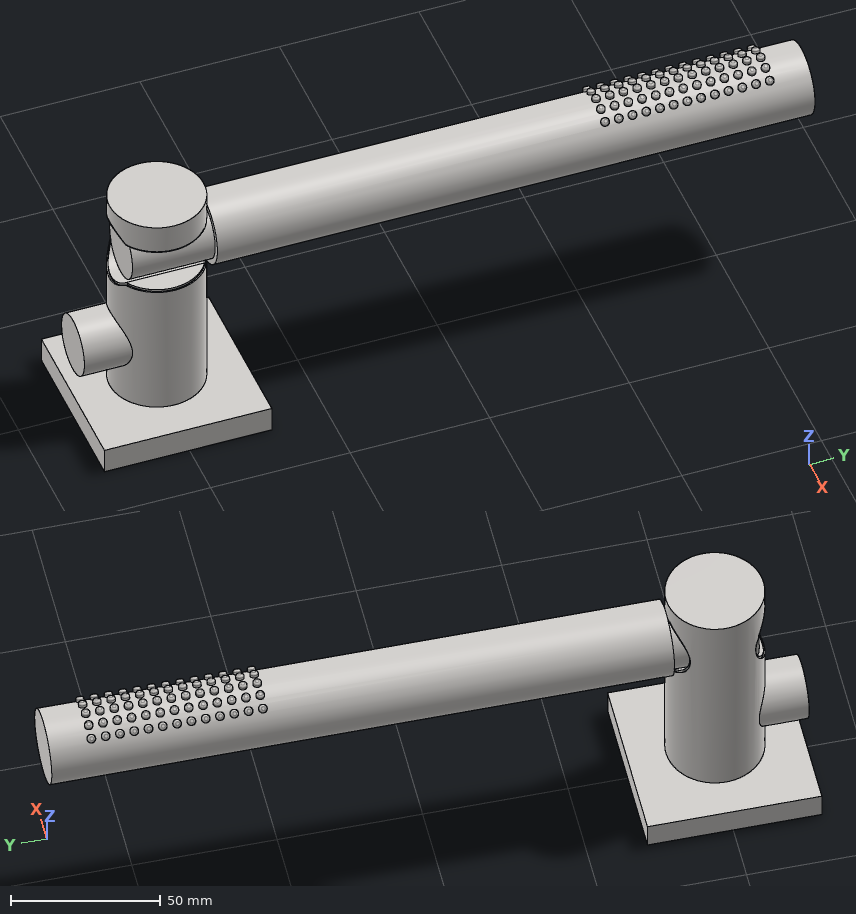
import cadquery as cq
import math

PLATE_SIDE = 60.0
PLATE_THICKNESS = 9.7

POST_DIAMETER = 33.7
POST_TOP_Z = 90.3
DOME_RISE = 0.3

CRADLE_Z = 70.2
CRADLE_DIAMETER = 25.0
SLOT_HEIGHT = 18.3
LINER_WALL = 0.8
LINER_SETBACK = 0.5

PIN_DIAMETER = 22.0
PIN_Z = 32.0

OVERALL_LENGTH = 261.0
HANDSET_DIAMETER = 26.0
NECK_DIAMETER = 22.0
NECK_FRONT_Y = -12.8

NUB_DIAMETER = 3.0
NUB_RISE = 1.5
NUB_EDGE_FILLET = 0.8
NUB_ROWS = 13
NUB_FIELD_LENGTH = 59.0
NUBS_PER_ROW = 5
NUB_ANGLE_STEP = 20.0
NUB_END_MARGIN = 14.5

post_radius = POST_DIAMETER / 2
handset_radius = HANDSET_DIAMETER / 2
plate_front_y = -PLATE_SIDE / 2
handset_start_y = post_radius
handset_end_y = plate_front_y + OVERALL_LENGTH


def rod_along_y(diameter, start_y, end_y, z):
    """A cylinder along Y, centred on X = 0 at height z."""
    profile = cq.Workplane("XZ", origin=(0, start_y, z)).circle(diameter / 2)
    return profile.extrude(start_y - end_y)


def cradle_cutter(diameter, slot_height):
    """A bar along Y through the whole post, with a slab beside it that opens towards +X."""
    bar = rod_along_y(diameter, -post_radius, post_radius, CRADLE_Z)
    slab = cq.Workplane("XY", origin=(0, 0, CRADLE_Z)).box(
        post_radius, POST_DIAMETER, slot_height, centered=(False, True, True)
    )
    return bar.union(slab)


def make_plate():
    return cq.Workplane("XY").rect(PLATE_SIDE, PLATE_SIDE).extrude(PLATE_THICKNESS)


def make_pin():
    """Its inner end reaches the axis of the post."""
    return rod_along_y(PIN_DIAMETER, plate_front_y, 0, PIN_Z)


def make_post(pin):
    """Half of the post's outline, turned about Z, less the cradle and the pin's hole."""
    rim_z = POST_TOP_Z - DOME_RISE
    dome_radius = (post_radius**2 + DOME_RISE**2) / (2 * DOME_RISE)
    half_angle = math.asin(post_radius / dome_radius) / 2
    dome_middle = (
        dome_radius * math.sin(half_angle),
        POST_TOP_Z - dome_radius * (1 - math.cos(half_angle)),
    )
    half_outline = (
        cq.Workplane("XZ")
        .moveTo(0, PLATE_THICKNESS)
        .lineTo(post_radius, PLATE_THICKNESS)
        .lineTo(post_radius, rim_z)
        .threePointArc(dome_middle, (0, POST_TOP_Z))
        .close()
    )
    post = half_outline.revolve(360, (0, 0), (0, 1))
    return post.cut(cradle_cutter(CRADLE_DIAMETER, SLOT_HEIGHT)).cut(pin)


def make_liner():
    """A thin C-shaped sleeve that covers the cradle and its slot, set back from the post's surface."""
    envelope = (
        cq.Workplane("XY").circle(post_radius - LINER_SETBACK).extrude(POST_TOP_Z)
    )
    outside = cradle_cutter(CRADLE_DIAMETER, SLOT_HEIGHT)
    inside = cradle_cutter(CRADLE_DIAMETER - 2 * LINER_WALL, SLOT_HEIGHT - 2 * LINER_WALL)
    return outside.intersect(envelope).cut(inside)


def make_nub(angle, y):
    """A rounded stud that points straight out from the handset's axis, tilted by angle degrees."""
    nub = (
        cq.Workplane("XY", origin=(0, y, 0))
        .circle(NUB_DIAMETER / 2)
        .extrude(handset_radius + NUB_RISE)
    )
    nub = nub.faces(">Z").edges().fillet(NUB_EDGE_FILLET)
    return nub.rotate((0, y, 0), (0, y + 2.5, 0), angle).translate((0, 0, CRADLE_Z))


def make_handset():
    """The bar with its rows of nubs spread evenly along and around its upper side."""
    bar = rod_along_y(HANDSET_DIAMETER, handset_start_y, handset_end_y, CRADLE_Z)
    row_pitch = NUB_FIELD_LENGTH / (NUB_ROWS - 1)
    for row in range(NUB_ROWS):
        y = handset_end_y - NUB_END_MARGIN - row * row_pitch
        for column in range(NUBS_PER_ROW):
            angle = (column - (NUBS_PER_ROW - 1) / 2) * NUB_ANGLE_STEP
            bar = bar.union(make_nub(angle, y))
    return bar


def make_neck():
    return rod_along_y(NECK_DIAMETER, NECK_FRONT_Y, handset_start_y, CRADLE_Z)


plate = make_plate()
pin = make_pin()
post = make_post(pin)
liner = make_liner()
handset = make_handset()
neck = make_neck()

result = cq.Compound.makeCompound(
    [plate.val(), post.val(), liner.val(), pin.val(), handset.val(), neck.val()]
)